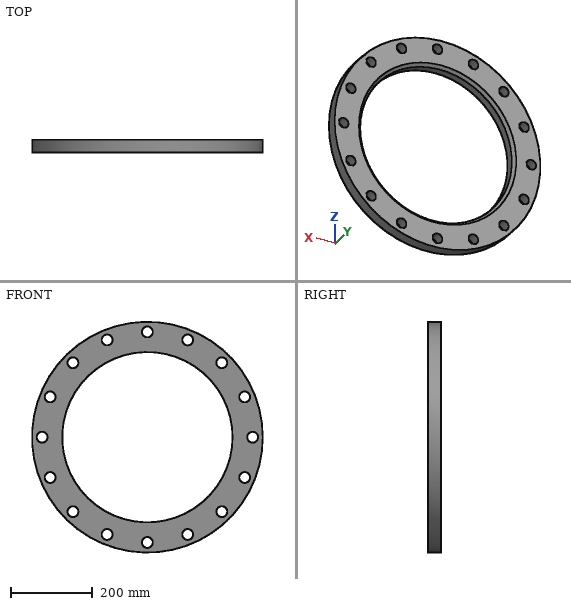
import cadquery as cq

outer_diameter = 565.0
bore_diameter = 416.0
thickness = 32.0
bore_chamfer = 8.0

bolt_circle_diameter = 515.0
bolt_hole_diameter = 26.0
bolt_hole_count = 16

back_face = cq.Workplane("XZ", origin=(0, thickness / 2, 0))


def make_ring():
    """Plain ring with its bore bevelled at the back."""
    disc = back_face.circle(outer_diameter / 2).extrude(thickness)
    bore = back_face.circle(bore_diameter / 2).extrude(thickness)
    return disc.cut(bore).faces(">Y").edges(cq.selectors.RadiusNthSelector(0)).chamfer(bore_chamfer)


def make_bolt_holes():
    """Cylinders that cut the evenly spaced bolt holes right through."""
    return (
        back_face.polarArray(bolt_circle_diameter / 2, 0, 360, bolt_hole_count)
        .circle(bolt_hole_diameter / 2)
        .extrude(thickness)
    )


result = make_ring().cut(make_bolt_holes())